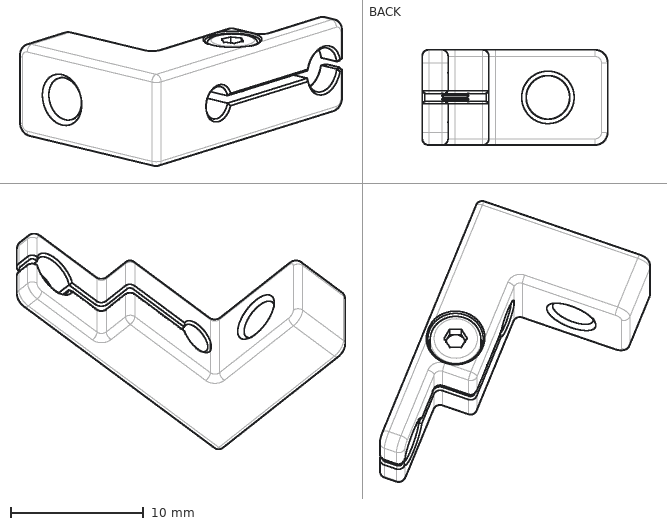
import cadquery as cq
import math

length_x = 14.0
length_y = 21.5
height = 7.2
foot_depth = 5.29
shoulder_width = 5.03
shoulder_end = 14.21
arm_width = 1.95
half_height = height / 2
shoulder_x = length_x - shoulder_width
arm_x = length_x - arm_width

edge_radius = 0.5
end_radius = 2 * edge_radius

foot_bore_x = 4.52
foot_bore_radius = 1.63
foot_bore_chamfer = 0.35

inner_bore_y = 7.1
inner_bore_radius = 1.25
outer_bore_y = 19.11
outer_bore_radius = 1.7
slot_width = 0.58
clamp_chamfer = 0.2
chamfer_angle = 45.0

screw_x = length_x - 2.5
screw_y = 11.5
head_radius = 1.91
head_height = 2.0
head_round = 0.28
head_recess = 0.06
pocket_radius = 2.09
pocket_chamfer = 0.13
socket_flats = 1.5
socket_depth = 1.0
socket_turn = 21.0
socket_tip_angle = 120.0
thread_radius = 1.0
thread_root_radius = 0.88
thread_pitch = 0.25
thread_turns = 15
head_top = half_height - head_recess
head_seat = head_top - head_height
screw_tip = head_seat - thread_turns * thread_pitch


def rounded_blank():
    """Stepped L-shaped block with rounded ends, inside corners and outer edges."""
    blank = (
        cq.Workplane("XY")
        .workplane(offset=-half_height)
        .moveTo(0, 0)
        .lineTo(length_x, 0)
        .lineTo(length_x, length_y)
        .lineTo(arm_x, length_y)
        .lineTo(arm_x, shoulder_end)
        .lineTo(shoulder_x, shoulder_end)
        .lineTo(shoulder_x, foot_depth)
        .lineTo(0, foot_depth)
        .close()
        .extrude(height)
    )
    blank = blank.faces("<X").edges("|Y").fillet(end_radius)
    blank = blank.faces(">Y").edges("|X").fillet(end_radius)

    for corner in [(arm_x, shoulder_end, 0), (shoulder_x, foot_depth, 0)]:
        blank = blank.edges(cq.NearestToPointSelector(corner)).fillet(edge_radius)

    sharp_edges = blank.faces("<Y or >X").edges()
    for corner in [(0, foot_depth, 0), (shoulder_x, shoulder_end, 0), (arm_x, length_y, 0)]:
        sharp_edges = sharp_edges.add(blank.edges(cq.NearestToPointSelector(corner)))
    return sharp_edges.fillet(edge_radius)


def x_cylinder(x_start, x_end, y, radius_at_start, radius_at_end):
    """Round cutter along X, straight or tapered, running from x_start to x_end."""
    return (
        cq.Workplane("XY")
        .polyline([(x_start, 0), (x_end, 0), (x_end, radius_at_end), (x_start, radius_at_start)])
        .close()
        .revolve(360, (0, 0), (1, 0))
        .translate((0, y, 0))
    )


def clamp_bore(y, radius, face_x):
    """Bore through the clamp at y, chamfered at the face at face_x and at the +X face."""
    flare_radius = radius + clamp_chamfer
    bore = x_cylinder(0, length_x, y, radius, radius)
    near_flare = x_cylinder(face_x, face_x + clamp_chamfer, y, flare_radius, radius)
    far_flare = x_cylinder(length_x - clamp_chamfer, length_x, y, radius, flare_radius)
    return bore.union(near_flare).union(far_flare)


def slot_slab(thickness):
    """Slab level with the clamping slot, from the inner bore out past the end of the arm."""
    slab = cq.Workplane("XY").box(length_x, length_y, thickness, centered=(False, False, True))
    return slab.translate((0, inner_bore_y, 0))


def clamp_slot(blank):
    """Clamping slot with a chamfer that follows the rounded outline of the blank."""
    outline = blank.section(half_height).wires().val()
    lip = (
        cq.Workplane("XY")
        .add(outline)
        .toPending()
        .extrude(-clamp_chamfer, taper=chamfer_angle)
        .translate((0, 0, slot_width / 2 + clamp_chamfer))
    )
    flare = slot_slab(slot_width + 2 * clamp_chamfer).cut(lip).cut(lip.mirror("XY"))
    return slot_slab(slot_width).union(flare)


def foot_bore():
    """Bore through the foot along Y, chamfered at both faces."""
    flare_radius = foot_bore_radius + foot_bore_chamfer
    return (
        cq.Workplane("XY")
        .moveTo(0, 0)
        .lineTo(flare_radius, 0)
        .lineTo(foot_bore_radius, foot_bore_chamfer)
        .lineTo(foot_bore_radius, foot_depth - foot_bore_chamfer)
        .lineTo(flare_radius, foot_depth)
        .lineTo(0, foot_depth)
        .close()
        .revolve(360, (0, 0), (0, 1))
        .translate((foot_bore_x, 0, 0))
    )


def z_cylinder(radius, z_bottom, z_top):
    """Cylinder on the screw axis between two heights."""
    base = cq.Workplane("XY", origin=(screw_x, screw_y, z_bottom))
    return base.circle(radius).extrude(z_top - z_bottom)


def head_pocket():
    """Cutter for the screw head pocket, flared where it meets the top face."""
    rim_radius = pocket_radius + pocket_chamfer
    rim_base = cq.Vector(screw_x, screw_y, half_height - pocket_chamfer)
    rim = cq.Solid.makeCone(pocket_radius, rim_radius, pocket_chamfer, rim_base)
    return z_cylinder(pocket_radius, head_seat, half_height).union(cq.Workplane(rim))


def make_clamp():
    """Clamp body with all of its openings."""
    blank = rounded_blank()
    return (
        blank.cut(head_pocket())
        .cut(z_cylinder(thread_radius, screw_tip, head_seat))
        .cut(foot_bore())
        .cut(clamp_slot(blank))
        .cut(clamp_bore(inner_bore_y, inner_bore_radius, shoulder_x))
        .cut(clamp_bore(outer_bore_y, outer_bore_radius, arm_x))
    )


def make_screw():
    """Socket head screw with a ringed shank and a cone-bottomed hexagon socket."""
    head = z_cylinder(head_radius, head_seat, head_top).faces(">Z").edges().fillet(head_round)

    shank_points = [(0, head_seat), (thread_root_radius, head_seat)]
    for turn in range(thread_turns):
        root_z = head_seat - turn * thread_pitch
        shank_points.append((thread_radius, root_z - thread_pitch / 2))
        shank_points.append((thread_root_radius, root_z - thread_pitch))
    shank_points.append((0, screw_tip))
    shank = (
        cq.Workplane("XZ")
        .polyline(shank_points)
        .close()
        .revolve(360, (0, 0), (0, 1))
        .translate((screw_x, screw_y, 0))
    )

    socket_floor = head_top - socket_depth
    socket_corners = socket_flats / math.cos(math.radians(30))
    socket = (
        cq.Workplane("XY", origin=(screw_x, screw_y, socket_floor))
        .transformed(rotate=(0, 0, socket_turn))
        .polygon(6, socket_corners)
        .extrude(socket_depth)
    )
    tip_radius = socket_flats / 2
    tip_depth = tip_radius / math.tan(math.radians(socket_tip_angle / 2))
    tip_base = cq.Vector(screw_x, screw_y, socket_floor)
    tip = cq.Solid.makeCone(tip_radius, 0, tip_depth, tip_base, cq.Vector(0, 0, -1))
    return head.union(shank).cut(socket).cut(tip)


clamp = make_clamp().solids()
screw = make_screw().solids()
result = cq.Compound.makeCompound([clamp.val(), screw.val()])